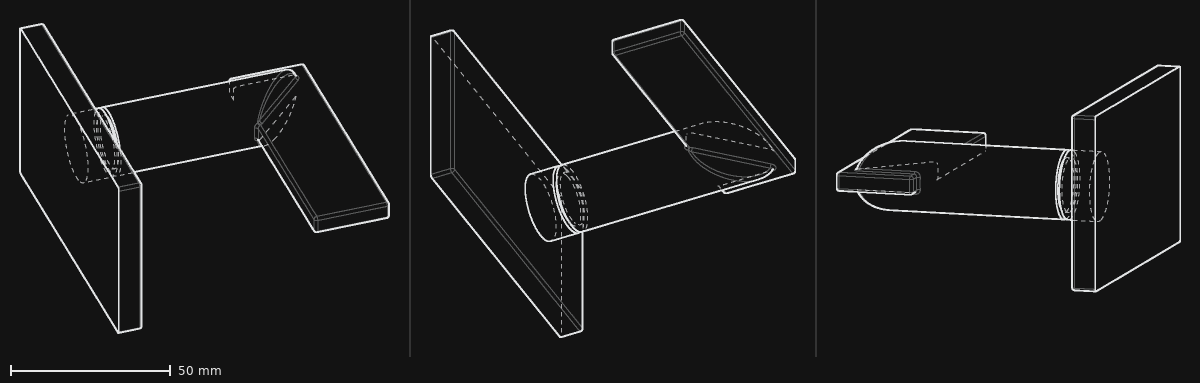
import cadquery as cq

TOTAL_LENGTH = 95.5
TOTAL_DEPTH = 89.2

PLATE_LENGTH = 93.0
PLATE_THICKNESS = 7.8
PLATE_HEIGHT = 55.9

NECK_RADIUS = 11.0
NECK_X = 30.7
GROOVE_RADIUS = 8.6
GROOVE_START = 17.6
GROOVE_WIDTH = 1.2

LEVER_LENGTH = 81.0
LEVER_WIDTH = 25.0
LEVER_THICKNESS = 6.0

EDGE_RADIUS = 1.0

JOINT_RADIUS = 1.0
SEAM_TOLERANCE = 0.001

mid_z = PLATE_HEIGHT / 2
groove_end = GROOVE_START + GROOVE_WIDTH
lever_left = TOTAL_LENGTH - LEVER_LENGTH
lever_front = TOTAL_DEPTH - LEVER_WIDTH


def make_plate():
    """Rectangular plate, square on its -Y face and rounded on all other edges."""
    plate = cq.Workplane("XY").box(PLATE_LENGTH, PLATE_THICKNESS, PLATE_HEIGHT, centered=False)
    return plate.edges("|Y or >Y").fillet(EDGE_RADIUS)


def neck_section(radius, start, end):
    """Cylinder along the neck axis between two Y positions."""
    axis_start = cq.Vector(NECK_X, start, mid_z)
    return cq.Workplane(cq.Solid.makeCylinder(radius, end - start, axis_start, cq.Vector(0, 1, 0)))


def make_neck_upper():
    """Outer neck section, mitred at 45 degrees down to the lever's front edge."""
    right = NECK_X + NECK_RADIUS
    left = NECK_X - NECK_RADIUS
    mitre_profile = [
        (left, groove_end),
        (right, groove_end),
        (right, lever_front),
        (left, lever_front + 2 * NECK_RADIUS),
    ]
    mitre = cq.Workplane("XY").polyline(mitre_profile).close().extrude(PLATE_HEIGHT)
    neck = neck_section(NECK_RADIUS, groove_end, TOTAL_DEPTH).intersect(mitre)
    return neck.edges(">Y").fillet(EDGE_RADIUS)


def make_lever():
    """Flat blade with every edge rounded."""
    lever = cq.Workplane("XY").box(LEVER_LENGTH, LEVER_WIDTH, LEVER_THICKNESS, centered=False)
    lever = lever.edges().fillet(EDGE_RADIUS)
    return lever.translate((lever_left, lever_front, mid_z - LEVER_THICKNESS / 2))


def seam_edges(joined, first, second):
    """Edges of a joined body that lie on the surfaces of both of its parts."""
    def on_both(edge):
        point = cq.Vertex.makeVertex(*edge.positionAt(0.5).toTuple())
        return all(
            min(face.distance(point) for face in part.faces().vals()) < SEAM_TOLERANCE
            for part in (first, second)
        )

    return [edge for edge in joined.edges().vals() if on_both(edge)]


def make_handle():
    """Mitred neck section joined to the lever, with a small fillet around the joint."""
    neck = make_neck_upper()
    lever = make_lever()
    handle = neck.union(lever)
    joint = seam_edges(handle, neck, lever)
    return handle.newObject(joint).fillet(JOINT_RADIUS)


base = neck_section(NECK_RADIUS, PLATE_THICKNESS, GROOVE_START)
spindle = neck_section(GROOVE_RADIUS, GROOVE_START, groove_end)
result = make_plate().union(base).union(spindle).union(make_handle())